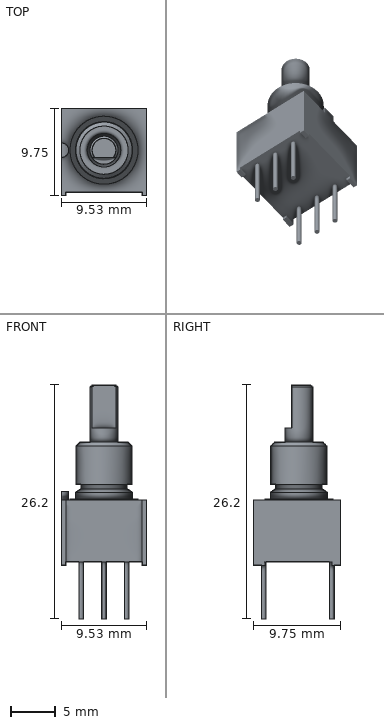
import cadquery as cq


overall_height = 26.21

housing_width = 9.53
housing_front = -5.08
housing_back = 4.67
block_height = 6.96
front_recess = 0.36
wall_thickness = 0.5
wall_height = 7.35
front_foot_length = 1.27
back_foot_length = 0.97

post_radius = 0.81
post_height = 0.95

washer_radius = 3.81
washer_top = 0.12
collar_radius = 3.2
collar_edge = 0.84
groove_radius = 2.6
collar_top = 1.23
bushing_radius = 3.15
bushing_bottom = 1.72
bushing_top = 6.46
bushing_chamfer = 0.45
bore_mouth_radius = 1.88
countersink_depth = 0.3

shaft_radius = 1.575
shaft_top = 12.86
shaft_chamfer = 0.25
flat_offset = 0.8
flat_bottom = 8.05

pin_diameter = 0.54
pin_pitch = 2.54
pin_columns = 3
pin_row_spacing = 3 * pin_pitch
pin_row_center = -0.11
pin_bottom = shaft_top - overall_height


def make_block():
    """Central block, set back from the front edges of the side walls."""
    depth = housing_back - housing_front - front_recess
    return (
        cq.Workplane("XY")
        .box(housing_width, depth, block_height, centered=(True, False, False))
        .translate((0, housing_front + front_recess, -block_height))
    )


def make_side_wall(x_start):
    """Side wall with a standoff foot at each end of its lower edge."""
    return (
        cq.Workplane("YZ", origin=(x_start, 0, 0))
        .moveTo(housing_front, 0)
        .lineTo(housing_back, 0)
        .lineTo(housing_back, -wall_height)
        .lineTo(housing_back - back_foot_length, -wall_height)
        .lineTo(housing_back - back_foot_length, -block_height)
        .lineTo(housing_front + front_foot_length, -block_height)
        .lineTo(housing_front + front_foot_length, -wall_height)
        .lineTo(housing_front, -wall_height)
        .close()
        .extrude(wall_thickness)
    )


def make_post():
    """Half-round post whose flat side is flush with the -X side wall."""
    edge_x = -housing_width / 2
    return (
        cq.Workplane("XY")
        .moveTo(edge_x, -post_radius)
        .threePointArc((edge_x + post_radius, 0), (edge_x, post_radius))
        .close()
        .extrude(post_height)
    )


def make_neck():
    """Turned washer, collar, groove and bushing with a countersunk mouth."""
    return (
        cq.Workplane("XZ")
        .moveTo(0, 0)
        .lineTo(washer_radius, 0)
        .lineTo(washer_radius, washer_top)
        .lineTo(collar_radius, washer_top)
        .lineTo(collar_radius, collar_edge)
        .lineTo(groove_radius, collar_top)
        .lineTo(groove_radius, bushing_bottom)
        .lineTo(bushing_radius, bushing_bottom)
        .lineTo(bushing_radius, bushing_top - bushing_chamfer)
        .lineTo(bushing_radius - bushing_chamfer, bushing_top)
        .lineTo(bore_mouth_radius, bushing_top)
        .lineTo(shaft_radius, bushing_top - countersink_depth)
        .lineTo(0, bushing_top - countersink_depth)
        .close()
        .revolve(360, (0, 0, 0), (0, 1, 0))
    )


def make_shaft():
    """Round shaft with a chamfered tip and a D-flat facing -Y."""
    shaft = cq.Workplane("XY").circle(shaft_radius).extrude(shaft_top)
    shaft = shaft.faces(">Z").chamfer(shaft_chamfer)
    flat_cutter = (
        cq.Workplane("XY")
        .box(2 * shaft_radius, shaft_radius, shaft_top - flat_bottom, centered=(True, False, False))
        .translate((0, -flat_offset - shaft_radius, flat_bottom))
    )
    return shaft.cut(flat_cutter)


def make_pins():
    """Two rows of round pins that start at mid-height inside the block."""
    return (
        cq.Workplane("XY", origin=(0, pin_row_center, pin_bottom))
        .rarray(pin_pitch, pin_row_spacing, pin_columns, 2)
        .circle(pin_diameter / 2)
        .extrude(-block_height / 2 - pin_bottom)
    )


result = (
    make_block()
    .union(make_side_wall(-housing_width / 2))
    .union(make_side_wall(housing_width / 2 - wall_thickness))
    .union(make_post())
    .union(make_neck())
    .union(make_shaft())
    .union(make_pins())
)